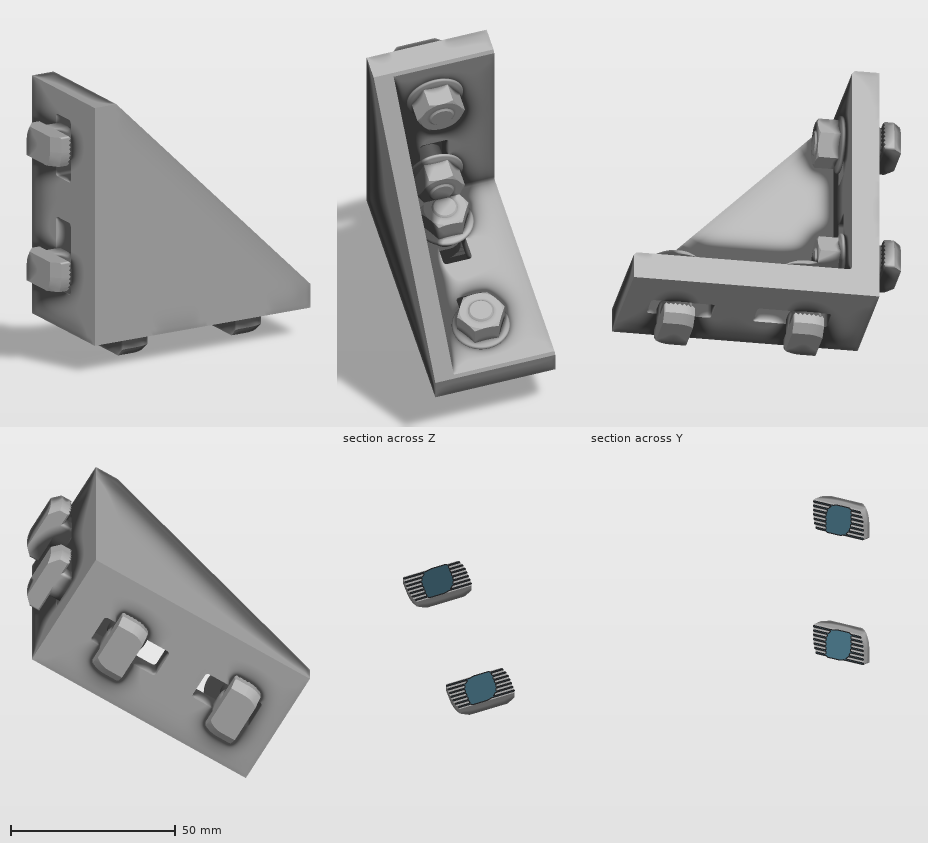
import cadquery as cq
import math

WIDTH = 38.0
LEG = 76.0
PLATE = 8.5
TIP = 7.6
GUSSET = 6.1
INNER_FILLET = 1.0
SLOT_WIDTH = 9.0
SLOT_FILLET = 1.0
SLOT_SPANS = [(12.0, 35.0), (48.0, 67.9)]

BOLT_X = WIDTH / 2
BOLT_STATIONS = [20.0, 60.0]

SHANK_D = 8.0
SHANK_TIP_D = 6.8
TIP_STICKOUT = 0.5
NECK_R = 4.8
NECK_FILLET = 0.9
NECK_DEPTH = 1.2
HEAD_R = 9.6
HEAD_HALF_WIDTH = 4.8
HEAD_BOTTOM = -8.8
HEAD_BEARING = -3.0
HEAD_BEVEL = 2.55
HEAD_FILLET = 0.6
TEETH = 7
TOOTH_PITCH = 2 * HEAD_HALF_WIDTH / TEETH
TOOTH_DEPTH = 0.6

NUT_HEIGHT = 8.1
NUT_FLATS = 13.1
NUT_BEVEL_ANGLE = math.radians(30)
FLANGE_R = 8.9
RIM_R = 0.6
FLANGE_ANGLE = math.radians(17)

BOLT_TOP = PLATE + NUT_HEIGHT + TIP_STICKOUT


def revolve_profile(profile):
    """Turn a closed (radius, height) profile about the Z axis."""
    return profile.revolve(360, (0, 0, 0), (0, 1, 0))


def opposite_pair(quarter):
    """A shape together with its half-turn copy about the Z axis."""
    return quarter.union(quarter.rotate((0, 0, 0), (0, 0, 1), 180))


def lay_on_leg(shape, station, upright):
    """Move a part from its own frame onto the upright or the flat leg."""
    if upright:
        return shape.rotate((0, 0, 0), (1, 0, 0), -90).translate((BOLT_X, 0, station))
    return shape.translate((BOLT_X, station, 0))


def make_neck():
    """Round neck, squared off in two opposite quadrants to stop the bolt turning."""
    length = NECK_DEPTH - HEAD_BOTTOM
    base = cq.Workplane("XY").workplane(offset=HEAD_BOTTOM)
    square = (
        base.rect(NECK_R, NECK_R, centered=False)
        .extrude(length)
        .edges("|Z and >X and >Y")
        .fillet(NECK_FILLET)
    )
    return base.circle(NECK_R).extrude(length).union(opposite_pair(square))


def make_head():
    """T-head: bevelled, rounded in two quadrants and square in the others, toothed on top."""
    profile = [
        (0, HEAD_BEARING),
        (HEAD_R, HEAD_BEARING),
        (HEAD_R, HEAD_BOTTOM + HEAD_BEVEL),
        (HEAD_R - HEAD_BEVEL, HEAD_BOTTOM),
        (0, HEAD_BOTTOM),
    ]
    section = cq.Sketch().polygon([*profile, profile[0]])
    turned = revolve_profile(cq.Workplane("XZ").placeSketch(section))
    square = (
        cq.Workplane("XZ")
        .placeSketch(section)
        .extrude(HEAD_HALF_WIDTH)
        .edges("|Z and >X and <Y")
        .fillet(HEAD_FILLET)
    )
    strip = cq.Workplane("XY").box(2 * HEAD_R, 2 * HEAD_HALF_WIDTH, -2 * HEAD_BOTTOM)
    head = turned.intersect(strip).union(opposite_pair(square))

    for i in range(TEETH + 1):
        root = i * TOOTH_PITCH - HEAD_HALF_WIDTH
        vee = [
            (root - TOOTH_PITCH / 2, HEAD_BEARING),
            (root, HEAD_BEARING - TOOTH_DEPTH),
            (root + TOOTH_PITCH / 2, HEAD_BEARING),
        ]
        head = head.cut(cq.Workplane("YZ").polyline(vee).close().extrude(HEAD_R, both=True))
    return head


def make_bolt():
    """T-bolt with a plain shank and a conical tip."""
    tip_chamfer = (SHANK_D - SHANK_TIP_D) / 2
    shank = (
        cq.Workplane("XY")
        .circle(SHANK_D / 2)
        .extrude(BOLT_TOP)
        .faces(">Z")
        .chamfer(TIP_STICKOUT, tip_chamfer)
    )
    return make_head().union(make_neck()).union(shank)


def make_nut():
    """Hexagon nut with a round-rimmed conical flange, bored to the shank size."""
    rim_x = FLANGE_R - RIM_R
    crest = (rim_x + RIM_R * math.sin(FLANGE_ANGLE), RIM_R * (1 + math.cos(FLANGE_ANGLE)))
    flange_peak = crest[1] + crest[0] * math.tan(FLANGE_ANGLE)
    flange = revolve_profile(
        cq.Workplane("XZ")
        .lineTo(rim_x, 0)
        .threePointArc((FLANGE_R, RIM_R), crest)
        .lineTo(0, flange_peak)
        .close()
    )
    corner_d = NUT_FLATS / math.cos(math.radians(30))
    hexagon = cq.Workplane("XY").polygon(6, corner_d).extrude(NUT_HEIGHT)
    bevel_drop = (corner_d - NUT_FLATS) / 2 * math.tan(NUT_BEVEL_ANGLE)
    bevel = revolve_profile(
        cq.Workplane("XZ").polyline([
            (0, 0),
            (corner_d / 2, 0),
            (corner_d / 2, NUT_HEIGHT - bevel_drop),
            (NUT_FLATS / 2, NUT_HEIGHT),
            (0, NUT_HEIGHT),
        ]).close()
    )
    bore = cq.Workplane("XY").circle(SHANK_D / 2).extrude(NUT_HEIGHT)
    return hexagon.intersect(bevel).union(flange).cut(bore)


def make_mitre_waste(upright):
    """Wedge on the far side of the 45 degree plane between the legs, where a fastener must not reach."""
    far_end = (0, LEG)
    if upright:
        far_end = (LEG, 0)
    return cq.Workplane("YZ").polyline([(0, 0), (LEG, LEG), far_end]).close().extrude(WIDTH)


def make_slot(length):
    """Cutter for a slot through a leg, running along +Y from the origin."""
    return (
        cq.Workplane("XY")
        .box(SLOT_WIDTH, length, PLATE, centered=(True, False, False))
        .edges("|Z")
        .fillet(SLOT_FILLET)
    )


def make_bracket():
    """Two slotted legs joined by a triangular wall on the +X side."""
    outline = [(0, 0), (LEG, 0), (LEG, TIP), (TIP, LEG), (0, LEG)]
    block = cq.Workplane("YZ").polyline(outline).close().extrude(WIDTH)
    cavity = (
        cq.Workplane("XY")
        .box(WIDTH - GUSSET, LEG, LEG, centered=False)
        .edges("|X and <Y and <Z")
        .fillet(INNER_FILLET)
        .translate((0, PLATE, PLATE))
    )
    bracket = block.cut(cavity)
    for start, end in SLOT_SPANS:
        slot = make_slot(end - start)
        bracket = bracket.cut(lay_on_leg(slot, start, upright=False))
        bracket = bracket.cut(lay_on_leg(slot, end, upright=True))
    neck = make_neck()
    for station in BOLT_STATIONS:
        for upright in (False, True):
            bracket = bracket.cut(lay_on_leg(neck, station, upright))
    return bracket


bracket = make_bracket()
bolt = make_bolt()
nut = make_nut().translate((0, 0, PLATE))

bolts = []
nuts = []
for upright in (False, True):
    waste = make_mitre_waste(upright)
    for station in BOLT_STATIONS:
        bolts.append(lay_on_leg(bolt, station, upright).cut(waste).val())
        nuts.append(lay_on_leg(nut, station, upright).cut(waste).val())

result = cq.Compound.makeCompound([bracket.val(), *bolts, *nuts])